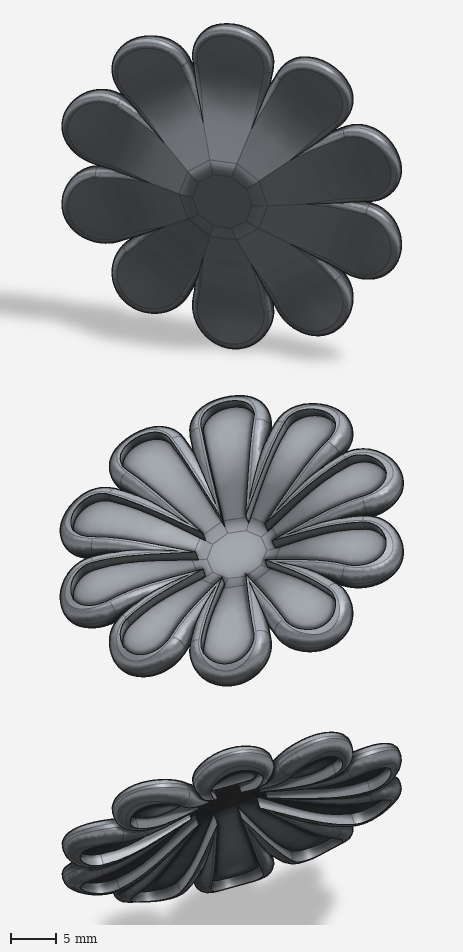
import cadquery as cq
import math

PETAL_COUNT = 10
TIP_RADIUS = 20.2
CAP_RADIUS = 4.55
SIDE_TAPER = 8.5
OVERRUN = 2.02

FACE_EDGE = (3.25, 0.0)
FRONT_CURVE = [(4.8, 0.35), (8.9, 2.05), (12.95, 3.15), (16.35, 3.2), (TIP_RADIUS, 2.5)]
BACK_CURVE = [(TIP_RADIUS, 4.53), (15.35, 5.8), (10.5, 4.97), (3.25, 2.43)]

FRONT_ROUND = 0.73
BACK_ROUND = 1.3
RIM_WIDTH = 1.55
FLOOR_THICKNESS = 1.2

FACING_LIMIT = 0.5
HALF_SECTOR = math.radians(180 / PETAL_COUNT)
SLAB_HALF_WIDTH = CAP_RADIUS + OVERRUN
BLANK_DEPTH = 12.13
CAP_CENTRE = TIP_RADIUS - CAP_RADIUS


def petal_outline(inset):
    """Tapered petal with a round end, seen along Y, as a prism through the whole depth."""
    taper = math.radians(SIDE_TAPER)
    radius = CAP_RADIUS - inset
    side_x = radius * math.cos(taper)
    side_z = CAP_CENTRE - radius * math.sin(taper)
    root_x = side_x - (side_z + OVERRUN) * math.tan(taper)
    return (
        cq.Workplane("XZ", origin=(0, BLANK_DEPTH, 0))
        .moveTo(root_x, -OVERRUN)
        .lineTo(side_x, side_z)
        .threePointArc((0, CAP_CENTRE + radius), (-side_x, side_z))
        .lineTo(-root_x, -OVERRUN)
        .close()
        .extrude(2 * BLANK_DEPTH)
    )


def across_petal(profile):
    """Close a (depth, distance) profile and extrude it across the full petal width."""
    return profile.close().extrude(2 * SLAB_HALF_WIDTH)


def front_path(offset):
    """Front profile from behind the axis to the tip, shifted back by the offset."""
    points = [(depth + offset, distance) for distance, depth in FRONT_CURVE]
    return (
        cq.Workplane("YZ", origin=(-SLAB_HALF_WIDTH, 0, 0))
        .moveTo(offset, -OVERRUN)
        .lineTo(FACE_EDGE[1] + offset, FACE_EDGE[0])
        .tangentArcPoint(points[0], relative=False)
        .spline(points[1:], includeCurrent=True)
    )


def petal_slab():
    """Curved slab between the front and back profiles."""
    back = [(depth, distance) for distance, depth in BACK_CURVE]
    hub_depth = back[-1][0]
    profile = (
        front_path(0)
        .lineTo(*back[0])
        .spline(back[1:], includeCurrent=True)
        .lineTo(hub_depth, -OVERRUN)
    )
    return across_petal(profile)


def hollow():
    """Recess in the back of a petal, leaving the rim and the floor."""
    behind_floor = (
        front_path(FLOOR_THICKNESS)
        .lineTo(BLANK_DEPTH, TIP_RADIUS)
        .lineTo(BLANK_DEPTH, -OVERRUN)
    )
    return across_petal(behind_floor).intersect(petal_outline(RIM_WIDTH))


def round_surface(petal, side, radius):
    """Round the outline of the petal's front (side -1) or back (side 1) surface."""
    surface = [face for face in petal.faces().vals() if side * face.normalAt().y > FACING_LIMIT]
    edges = [edge for face in surface for edge in face.Edges()]
    outline = [edge for edge in edges if sum(edge.isSame(other) for other in edges) == 1]
    return petal.newObject(outline).fillet(radius)


def sector():
    """Wedge about the Y axis holding one petal."""
    height = 2 * TIP_RADIUS
    half_width = height * math.tan(HALF_SECTOR)
    return (
        cq.Workplane("XZ", origin=(0, BLANK_DEPTH, 0))
        .polyline([(0, 0), (half_width, height), (-half_width, height)])
        .close()
        .extrude(2 * BLANK_DEPTH)
    )


def petal():
    """One rounded and hollowed petal, trimmed to its share of the circle."""
    body = petal_slab().intersect(petal_outline(0))
    body = round_surface(body, -1, FRONT_ROUND)
    body = round_surface(body, 1, BACK_ROUND)
    return body.cut(hollow()).intersect(sector())


first_petal = petal().val()
petals = [
    first_petal.rotate(cq.Vector(0, 0, 0), cq.Vector(0, 1, 0), index * 360 / PETAL_COUNT)
    for index in range(PETAL_COUNT)
]
flower = petals[0].fuse(*petals[1:], glue=True).clean()
result = cq.Workplane("XY").newObject(flower.Solids())